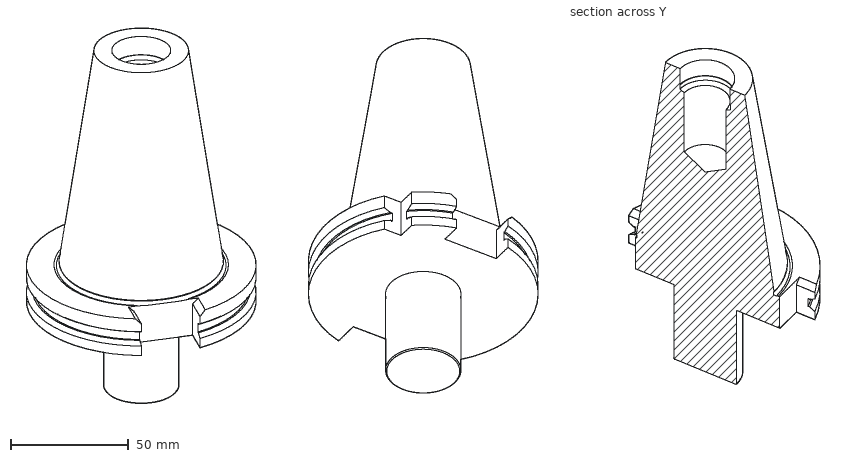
import cadquery as cq
import math

gauge_diameter = 69.85
taper_ratio = 7 / 24
taper_length = 101.6
small_end_diameter = gauge_diameter - taper_ratio * taper_length

neck_diameter = 69.25
neck_bevel_height = 0.5
neck_fillet = 0.45

flange_diameter = 97.5
flange_top_z = -1.5
flange_bottom_z = -19.1
face_recess_diameter = 74.0
face_recess_depth = 0.35
face_recess_bevel_width = 1.0

groove_center_z = -11.1
groove_mouth_width = 6.9
groove_floor_width = 4.1
groove_floor_diameter = 91.1
groove_flank_angle = 30

stub_diameter = 32
stub_end_z = -60
stub_chamfer = 0.5

slot_width = 25.7
slot_chamfer = 2.5
left_slot_floor_x = -37.7
right_slot_floor_x = 35.3

notch_x = -30
notch_y = 30

pilot_diameter = 25.01
pilot_depth = 8.9
relief_diameter = 25.46
relief_depth = 11.4
hole_diameter = 21
hole_depth = 45
seat_angle = 25
drill_point_angle = 118


def revolve_profile(profile):
    """Revolve a closed (radius, z) profile about the Z axis."""
    return profile.close().revolve(360, (0, 0, 0), (0, 1, 0))


def make_body():
    """Taper, neck, recessed flange face, grooved flange and stub as one revolved shape."""
    small_end_radius = small_end_diameter / 2
    gauge_radius = gauge_diameter / 2
    neck_radius = neck_diameter / 2
    flange_radius = flange_diameter / 2
    groove_floor_radius = groove_floor_diameter / 2
    stub_radius = stub_diameter / 2
    recess_radius = face_recess_diameter / 2
    recess_floor_z = flange_top_z - face_recess_depth
    mouth_half = groove_mouth_width / 2
    floor_half = groove_floor_width / 2
    flank_depth = (mouth_half - floor_half) / math.tan(math.radians(groove_flank_angle))
    flank_foot_radius = flange_radius - flank_depth
    fillet_inset = neck_fillet * (1 - math.sqrt(0.5))
    shank_points = [
        (0, taper_length),
        (small_end_radius, taper_length),
        (gauge_radius, 0),
        (neck_radius, -neck_bevel_height),
        (neck_radius, recess_floor_z + neck_fillet),
    ]
    fillet_middle = (neck_radius + fillet_inset, recess_floor_z + fillet_inset)
    fillet_foot = (neck_radius + neck_fillet, recess_floor_z)
    flange_and_stub_points = [
        (recess_radius - face_recess_bevel_width, recess_floor_z),
        (recess_radius, flange_top_z),
        (flange_radius, flange_top_z),
        (flange_radius, groove_center_z + mouth_half),
        (flank_foot_radius, groove_center_z + floor_half),
        (groove_floor_radius, groove_center_z + floor_half),
        (groove_floor_radius, groove_center_z - floor_half),
        (flank_foot_radius, groove_center_z - floor_half),
        (flange_radius, groove_center_z - mouth_half),
        (flange_radius, flange_bottom_z),
        (stub_radius, flange_bottom_z),
        (stub_radius, stub_end_z + stub_chamfer),
        (stub_radius - stub_chamfer, stub_end_z),
        (0, stub_end_z),
    ]
    profile = (
        cq.Workplane("XZ")
        .polyline(shank_points)
        .threePointArc(fillet_middle, fillet_foot)
        .polyline(flange_and_stub_points, includeCurrent=True)
    )
    return revolve_profile(profile)


def make_bore():
    """Pull stud bore: pilot, thread relief, conical seat and drilled hole."""
    pilot_radius = pilot_diameter / 2
    relief_radius = relief_diameter / 2
    hole_radius = hole_diameter / 2
    pilot_end_z = taper_length - pilot_depth
    relief_end_z = taper_length - relief_depth
    seat_end_z = relief_end_z - (relief_radius - hole_radius) * math.tan(math.radians(seat_angle))
    hole_end_z = taper_length - hole_depth
    point_height = hole_radius / math.tan(math.radians(drill_point_angle / 2))
    profile = cq.Workplane("XZ").polyline([
        (0, taper_length),
        (pilot_radius, taper_length),
        (pilot_radius, pilot_end_z),
        (relief_radius, pilot_end_z),
        (relief_radius, relief_end_z),
        (hole_radius, seat_end_z),
        (hole_radius, hole_end_z),
        (0, hole_end_z - point_height),
    ])
    return revolve_profile(profile)


def make_slot(floor_x):
    """Drive slot, chamfered at the top, from its floor out through the flange side."""
    half_width = slot_width / 2
    outward = math.copysign(flange_diameter, floor_x)
    return (
        cq.Workplane("YZ", origin=(floor_x, 0, 0))
        .polyline([
            (-half_width, flange_bottom_z),
            (half_width, flange_bottom_z),
            (half_width, flange_top_z - slot_chamfer),
            (half_width + slot_chamfer, flange_top_z),
            (-half_width - slot_chamfer, flange_top_z),
            (-half_width, flange_top_z - slot_chamfer),
        ])
        .close()
        .extrude(outward)
    )


def make_notch():
    """Square-cornered orientation notch through the full flange thickness."""
    reach = flange_diameter / 2
    flange_thickness = flange_top_z - flange_bottom_z
    return (
        cq.Workplane("XY", origin=(notch_x, notch_y, flange_bottom_z))
        .rect(-reach, reach, centered=False)
        .extrude(flange_thickness)
    )


result = make_body().cut(make_bore()).cut(make_notch())
for slot_floor_x in (left_slot_floor_x, right_slot_floor_x):
    result = result.cut(make_slot(slot_floor_x))